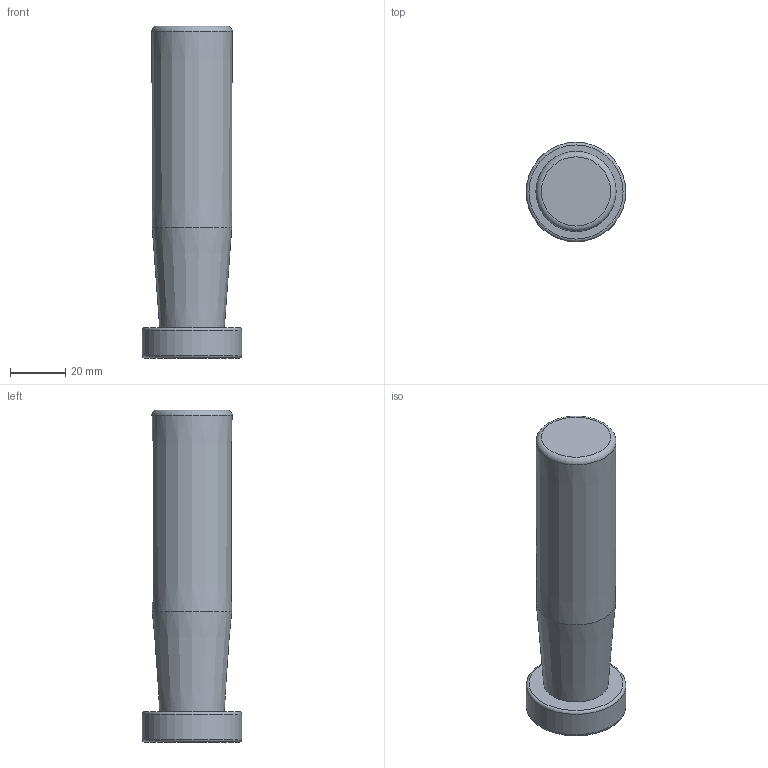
import cadquery as cq

TOTAL_HEIGHT = 120.0
FLANGE_DIAMETER = 36.0
FLANGE_HEIGHT = 11.0
FLANGE_EDGE_RADIUS = 1.0
NECK_DIAMETER = 23.4
SHOULDER_DIAMETER = 28.7
SHOULDER_HEIGHT = 47.0
TOP_DIAMETER = 29.0
TOP_EDGE_RADIUS = 2.0


def make_flange():
    """Round base disc with both rims rounded."""
    disc = cq.Workplane("XY").circle(FLANGE_DIAMETER / 2).extrude(FLANGE_HEIGHT)
    return disc.edges("%CIRCLE").fillet(FLANGE_EDGE_RADIUS)


def make_grip():
    """Handle turned about Z: steep lower taper, slight upper taper, rounded top rim."""
    half_profile = (
        cq.Workplane("XZ")
        .lineTo(NECK_DIAMETER / 2, 0)
        .lineTo(NECK_DIAMETER / 2, FLANGE_HEIGHT)
        .lineTo(SHOULDER_DIAMETER / 2, SHOULDER_HEIGHT)
        .lineTo(TOP_DIAMETER / 2, TOTAL_HEIGHT)
        .lineTo(0, TOTAL_HEIGHT)
        .close()
    )
    grip = half_profile.revolve(360, (0, 0, 0), (0, 1, 0))
    return grip.faces(">Z").edges().fillet(TOP_EDGE_RADIUS)


flange = make_flange()
grip = make_grip()
result = flange.union(grip)